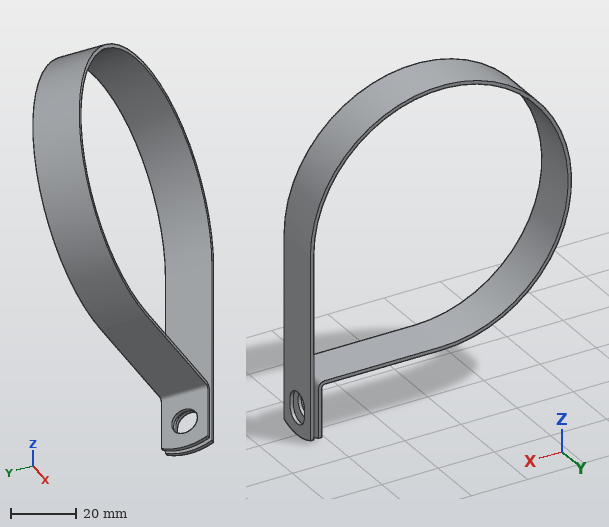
import cadquery as cq
import math

width = 15.875
thickness = 1.245

outer_radius = 92.91 / 2
inner_radius = outer_radius - thickness

leg_gap = 1.6
tip_depth = 66.61
tip_radius = 19.05
bend_inner_radius = 1.12
bend_outer_radius = bend_inner_radius + thickness

hole_diameter = 8.7
slot_length = 11.1
hole_to_tip = 9.525

short_leg_outer_x = inner_radius - leg_gap
short_leg_inner_x = short_leg_outer_x - thickness
bend_center_x = short_leg_inner_x - bend_inner_radius
bend_center_z = -outer_radius - bend_inner_radius
gap_middle_x = inner_radius - leg_gap / 2


def diagonal_point(center_x, center_z, radius, x_sign):
    """Point on a circle in the upper half, 45 degrees from the vertical."""
    offset = radius * math.sqrt(0.5)
    return (center_x + x_sign * offset, center_z + offset)


def make_strap():
    """Long leg, three-quarter loop, straight base, bend and short leg as one strip."""
    profile = (
        cq.Workplane("XZ")
        .moveTo(outer_radius, -tip_depth)
        .lineTo(outer_radius, 0)
        .threePointArc(diagonal_point(0, 0, outer_radius, -1), (0, -outer_radius))
        .lineTo(bend_center_x, -outer_radius)
        .threePointArc(
            diagonal_point(bend_center_x, bend_center_z, bend_inner_radius, 1),
            (short_leg_inner_x, bend_center_z),
        )
        .lineTo(short_leg_inner_x, -tip_depth)
        .lineTo(short_leg_outer_x, -tip_depth)
        .lineTo(short_leg_outer_x, bend_center_z)
        .threePointArc(
            diagonal_point(bend_center_x, bend_center_z, bend_outer_radius, 1),
            (bend_center_x, -inner_radius),
        )
        .lineTo(0, -inner_radius)
        .threePointArc(diagonal_point(0, 0, inner_radius, -1), (inner_radius, 0))
        .lineTo(inner_radius, -tip_depth)
        .close()
    )
    return profile.extrude(width / 2, both=True)


def make_tip_envelope():
    """Strap silhouette along X: straight sides with an arc across the leg tips."""
    half_width = width / 2
    tip_rise = tip_radius - math.sqrt(tip_radius**2 - half_width**2)
    corner_z = tip_rise - tip_depth
    return (
        cq.Workplane("YZ")
        .moveTo(-half_width, outer_radius)
        .lineTo(-half_width, corner_z)
        .threePointArc((0, -tip_depth), (half_width, corner_z))
        .lineTo(half_width, outer_radius)
        .close()
        .extrude(outer_radius, both=True)
    )


def leg_cutter_plane(start_x):
    """Work plane facing +X at start_x, centred on the mounting hole."""
    return cq.Workplane("YZ", origin=(start_x, 0, hole_to_tip - tip_depth))


def make_round_hole():
    """Cylinder along X through the short leg, ending in the gap."""
    return leg_cutter_plane(bend_center_x).circle(hole_diameter / 2).extrude(gap_middle_x - bend_center_x)


def make_slot():
    """Upright slot along X from the gap out through the long leg."""
    slot_depth = outer_radius - gap_middle_x
    return leg_cutter_plane(gap_middle_x).slot2D(slot_length, hole_diameter, 90).extrude(slot_depth)


result = (
    make_strap()
    .intersect(make_tip_envelope())
    .cut(make_round_hole())
    .cut(make_slot())
)